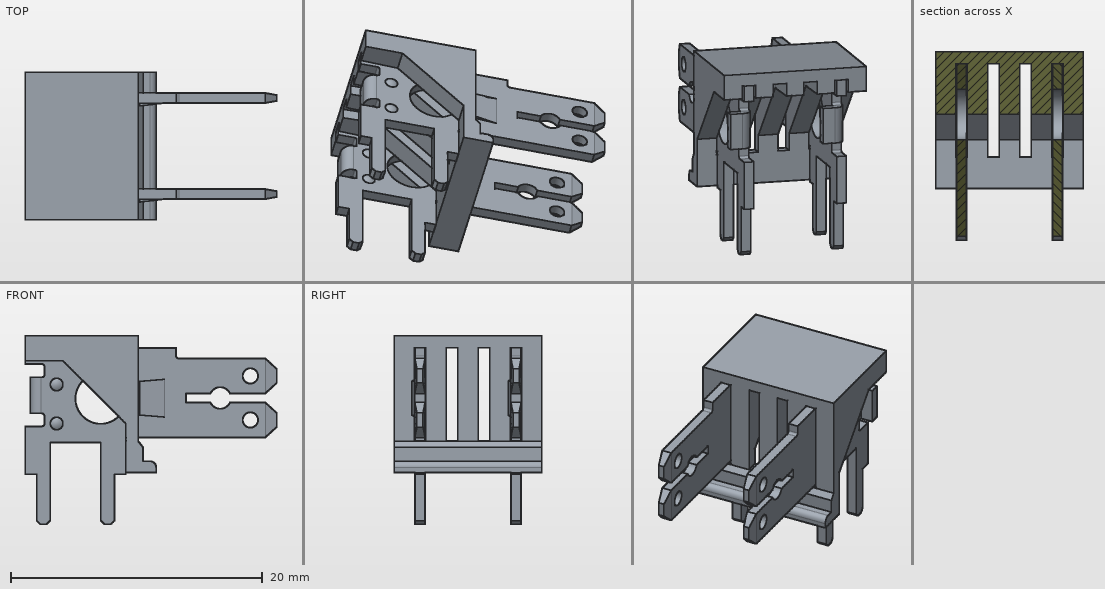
import cadquery as cq
import math

HOUSING_WIDTH = 11.74
HOUSING_LENGTH = 9.0
HOUSING_TOP = 15.0
HOUSING_BOTTOM = 4.12
BEAM_BOTTOM = 13.0
BEAM_LENGTH = 3.0
WALL_BACK = 8.0
GUSSET_BOTTOM = BEAM_BOTTOM - (WALL_BACK - BEAM_LENGTH)

FOOT_END = 10.42
FOOT_TOP = 5.03
FOOT_ROUND = 0.5
STEP_DEPTH = 0.38
STEP_START = 6.6
STEP_END = 6.12

SLOT_PITCH = 2.54
SLOT_COUNT = 4
SLOT_WIDTH = 0.9
MOUTH_WIDTH = 1.1
SLOT_TOP = 14.03
SLOT_BOTTOM = 6.63

TERMINAL_Y = 3.82
THICKNESS = 0.81
TERMINAL_LENGTH = 20.0

SHOULDER_HEIGHT = 3.97
LEG_WIDTH = 1.1
LEG_STARTS = (0.9, 6.0)
LEG_GAP_TOP = 6.5
LEG_TIP_CHAMFER = 0.3

BLADE_BOTTOM = 6.9
BLADE_WIDTH = 6.3
BLADE_TOP = BLADE_BOTTOM + BLADE_WIDTH
BLADE_MIDDLE = BLADE_BOTTOM + BLADE_WIDTH / 2
BLADE_START = 12.0
BLADE_STEP_FILLET = 0.2
PRONG_WIDTH = 2.8
PRONG_GAP = BLADE_WIDTH - 2 * PRONG_WIDTH
PRONG_GAP_START = 12.8
RELIEF_X = 15.5
RELIEF_DIAMETER = 1.7
PRONG_HOLE_X = 17.9
PRONG_HOLE_DIAMETER = 1.2
TIP_LENGTH = 0.92
TIP_INSET = 0.84
TIP_THICKNESS = 0.48

WINDOW_X = 6.0
WINDOW_Z = 10.0
WINDOW_DIAMETER = 4.0

NOTCH_DEPTH = 1.52
NOTCH_TOP = 12.74
NOTCH_BOTTOM = 7.8
NOTCH_FILLET = 0.2
TAB_TOP = 11.7
TAB_BOTTOM = 8.82
TAB_BACK = 0.39
BEND_RADIUS = 0.85
TAB_REACH = 1.82

DIMPLE_X = 2.5
DIMPLE_HEIGHTS = (8.02, 11.12)
DIMPLE_RADIUS = 0.5
DIMPLE_HEIGHT = 0.17

BARB_START = 9.12
BARB_END = 11.06
BARB_PROUD = 0.23
BARB_MIDDLE = 10.03
BARB_SMALL_HALF = 1.34
BARB_LARGE_HALF = 1.5


def block(x0, x1, y0, y1, z0, z1):
    """Box between two opposite corners."""
    return cq.Workplane("XY").box(x1 - x0, y1 - y0, z1 - z0, centered=False).translate((x0, y0, z0))


def side_disc(x, z, diameter):
    """Round cutter through the sheet, along Y."""
    return cq.Workplane("XZ", origin=(x, THICKNESS / 2, z)).circle(diameter / 2).extrude(THICKNESS)


def make_housing():
    step_x = HOUSING_LENGTH + STEP_DEPTH
    round_mid = FOOT_ROUND * math.sqrt(0.5)
    body = (
        cq.Workplane("XZ")
        .moveTo(0, BEAM_BOTTOM)
        .lineTo(BEAM_LENGTH, BEAM_BOTTOM)
        .lineTo(WALL_BACK, GUSSET_BOTTOM)
        .lineTo(WALL_BACK, HOUSING_BOTTOM)
        .lineTo(FOOT_END, HOUSING_BOTTOM)
        .lineTo(FOOT_END, FOOT_TOP - FOOT_ROUND)
        .threePointArc(
            (FOOT_END - FOOT_ROUND + round_mid, FOOT_TOP - FOOT_ROUND + round_mid),
            (FOOT_END - FOOT_ROUND, FOOT_TOP),
        )
        .lineTo(step_x, FOOT_TOP)
        .lineTo(step_x, STEP_END)
        .lineTo(HOUSING_LENGTH, STEP_START)
        .lineTo(HOUSING_LENGTH, HOUSING_TOP)
        .lineTo(0, HOUSING_TOP)
        .close()
        .extrude(HOUSING_WIDTH / 2, both=True)
    )
    for index in range(SLOT_COUNT):
        y = (index - (SLOT_COUNT - 1) / 2) * SLOT_PITCH
        slot = block(0, HOUSING_LENGTH, y - SLOT_WIDTH / 2, y + SLOT_WIDTH / 2, SLOT_BOTTOM, SLOT_TOP)
        mouth = (
            cq.Workplane("XY", origin=(0, y, BEAM_BOTTOM))
            .moveTo(0, -MOUTH_WIDTH / 2)
            .lineTo(BEAM_LENGTH, -SLOT_WIDTH / 2)
            .lineTo(BEAM_LENGTH, SLOT_WIDTH / 2)
            .lineTo(0, MOUTH_WIDTH / 2)
            .close()
            .extrude(SLOT_TOP - BEAM_BOTTOM)
        )
        body = body.cut(slot).cut(mouth)
    return body


def make_sheet():
    """Flat stamped outline without the tab, barb and dimples."""
    half = THICKNESS / 2
    sheet = block(0, WALL_BACK, -half, half, SHOULDER_HEIGHT, SLOT_TOP)
    sheet = sheet.union(block(WALL_BACK, BLADE_START, -half, half, BLADE_BOTTOM, SLOT_TOP))

    first_leg, last_leg = LEG_STARTS
    sheet = sheet.cut(block(first_leg + LEG_WIDTH, last_leg, -half, half, SHOULDER_HEIGHT, LEG_GAP_TOP))
    for start in LEG_STARTS:
        leg = block(start, start + LEG_WIDTH, -half, half, 0, LEG_GAP_TOP)
        sheet = sheet.union(leg.faces("<Z").edges("|Y").chamfer(LEG_TIP_CHAMFER))

    sheet = sheet.cut(side_disc(WINDOW_X, WINDOW_Z, WINDOW_DIAMETER))
    upper_notch = block(0, NOTCH_DEPTH, -half, half, TAB_TOP, NOTCH_TOP)
    lower_notch = block(0, NOTCH_DEPTH, -half, half, NOTCH_BOTTOM, TAB_BOTTOM)
    for cutter in (upper_notch, lower_notch):
        sheet = sheet.cut(cutter.edges("|Y and >X").fillet(NOTCH_FILLET))
    return sheet.cut(block(0, TAB_BACK + BEND_RADIUS, -half, half, TAB_BOTTOM, TAB_TOP))


def make_blade():
    """Forked blade with tapered prong tips."""
    half = THICKNESS / 2
    tip_start = TERMINAL_LENGTH - TIP_LENGTH
    blade = block(BLADE_START, tip_start, -half, half, BLADE_BOTTOM, BLADE_TOP)
    corner = block(
        BLADE_START, BLADE_START + BLADE_STEP_FILLET, -half, half, BLADE_TOP, BLADE_TOP + BLADE_STEP_FILLET
    )
    corner_round = side_disc(
        BLADE_START + BLADE_STEP_FILLET, BLADE_TOP + BLADE_STEP_FILLET, 2 * BLADE_STEP_FILLET
    )
    blade = blade.union(corner.cut(corner_round))

    gap_bottom = BLADE_MIDDLE - PRONG_GAP / 2
    blade = blade.cut(block(PRONG_GAP_START, tip_start, -half, half, gap_bottom, gap_bottom + PRONG_GAP))
    blade = blade.cut(side_disc(RELIEF_X, BLADE_MIDDLE, RELIEF_DIAMETER))
    for side in (-1, 1):
        prong_z = BLADE_MIDDLE + side * (PRONG_GAP + PRONG_WIDTH) / 2
        tip = (
            cq.Workplane("YZ", origin=(tip_start, 0, prong_z))
            .rect(THICKNESS, PRONG_WIDTH)
            .workplane(offset=TIP_LENGTH)
            .rect(TIP_THICKNESS, PRONG_WIDTH - 2 * TIP_INSET)
            .loft(ruled=True)
        )
        blade = blade.union(tip).cut(side_disc(PRONG_HOLE_X, prong_z, PRONG_HOLE_DIAMETER))
    return blade


def make_tab():
    """Strip that leaves the sheet at the rear and bends round toward +Y."""
    front_y = -THICKNESS / 2
    end_y = front_y + TAB_REACH
    bend = block(TAB_BACK, NOTCH_DEPTH, front_y, front_y + THICKNESS, TAB_BOTTOM, TAB_TOP)
    arm = block(TAB_BACK, TAB_BACK + THICKNESS, front_y, end_y, TAB_BOTTOM, TAB_TOP)
    return bend.union(arm).edges("|Z and <X and <Y").fillet(BEND_RADIUS)


def make_dimple(z):
    """Spherical cap standing on the -Y face of the sheet, with a short root inside it."""
    sphere_radius = (DIMPLE_RADIUS**2 + DIMPLE_HEIGHT**2) / (2 * DIMPLE_HEIGHT)
    half_angle = math.asin(DIMPLE_RADIUS / sphere_radius) / 2
    face_y = -THICKNESS / 2
    apex_y = face_y - DIMPLE_HEIGHT
    arc_middle = (sphere_radius * math.sin(half_angle), apex_y + sphere_radius * (1 - math.cos(half_angle)))
    return (
        cq.Workplane("XY")
        .moveTo(0, apex_y)
        .threePointArc(arc_middle, (DIMPLE_RADIUS, face_y))
        .lineTo(DIMPLE_RADIUS, 0)
        .lineTo(0, 0)
        .close()
        .revolve(360, (0, 0), (0, 1))
        .translate((DIMPLE_X, 0, z))
    )


def make_barb():
    """Wedge on the -Y face, narrower in Z at its raised end."""
    face_y = -THICKNESS / 2
    wedge = (
        cq.Workplane("XY", origin=(0, 0, BARB_MIDDLE))
        .moveTo(BARB_START, 0)
        .lineTo(BARB_START, face_y - BARB_PROUD)
        .lineTo(BARB_END, face_y)
        .lineTo(BARB_END, 0)
        .close()
        .extrude(BARB_LARGE_HALF, both=True)
    )
    outline = (
        cq.Workplane("XZ")
        .moveTo(BARB_START, BARB_MIDDLE - BARB_SMALL_HALF)
        .lineTo(BARB_END, BARB_MIDDLE - BARB_LARGE_HALF)
        .lineTo(BARB_END, BARB_MIDDLE + BARB_LARGE_HALF)
        .lineTo(BARB_START, BARB_MIDDLE + BARB_SMALL_HALF)
        .close()
        .extrude(THICKNESS)
    )
    return wedge.intersect(outline)


def make_terminal():
    terminal = make_sheet().union(make_blade()).union(make_tab()).union(make_barb())
    for z in DIMPLE_HEIGHTS:
        terminal = terminal.union(make_dimple(z))
    return terminal


housing = make_housing()
terminal = make_terminal()
terminals = [terminal.translate((0, side * TERMINAL_Y, 0)) for side in (-1, 1)]

result = cq.Compound.makeCompound([housing.val(), *[item.val() for item in terminals]])